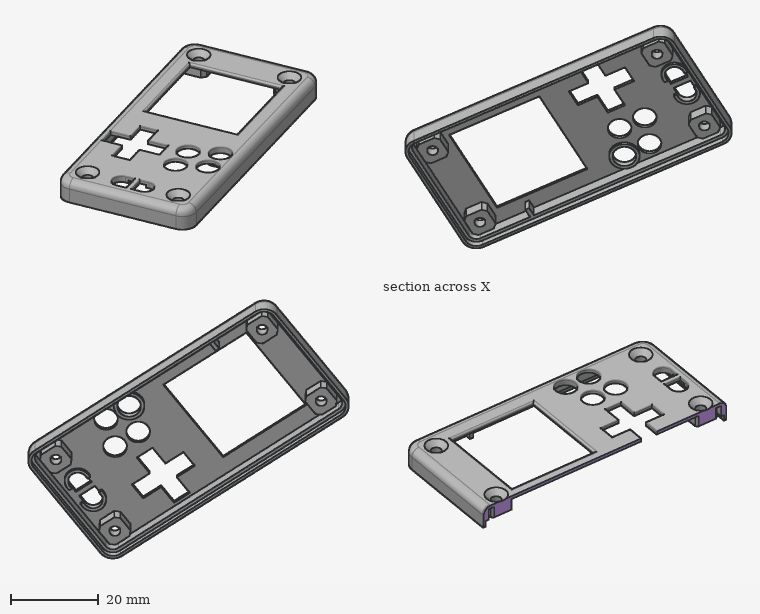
import cadquery as cq

LENGTH_X = 34.0
LENGTH_Y = 69.0
HEIGHT = 5.6
CORNER_RADIUS = 3.5
TOP_FILLET = 2.0

WALL = 1.5
TOP_THICKNESS = 1.0

SEAT_WALL = 0.7
SEAT_HEIGHT = 1.6

ceiling_z = HEIGHT - TOP_THICKNESS

SCREW_SPACING_X = 23.0
SCREW_SPACING_Y = 58.0
SCREW_DIAMETER = 2.5
SCREW_HEAD_DIAMETER = 5.4
COUNTERSINK_ANGLE = 90.0
BOSS_SIDE = 6.0
BOSS_CHAMFER = 1.0

RIB_START_X = 13.2
RIB_START_Y = 17.2
RIB_WIDTH = 1.0

SCREEN_SIZE = 23.3
SCREEN_CENTER_Y = 13.0
SCREEN_RIM_FILLET = 0.5

PAD_CENTER = (-7.5, -12.5)
PAD_SPAN = 14.5
PAD_ARM_WIDTH = 4.4

BUTTON_DIAMETER = 5.4
BUTTON_PITCH_Y = 6.5
BUTTON_COLUMNS = [(5.0, -13.8), (12.0, -11.3)]

SLOT_LENGTH = 10.4
SLOT_WIDTH = 4.4
SLOT_BAR_WIDTH = 1.3
SLOT_CENTER_Y = -29.0

COLLAR_DROP = 0.7
COLLAR_WALL = 0.8
SLOT_COLLAR_GAP = 4.4

CONTROL_RIM_FILLET = 0.15


def rounded_block(inset, height):
    """Case outline moved inward by the inset, standing on the bottom plane."""
    return (
        cq.Workplane("XY")
        .rect(LENGTH_X - 2 * inset, LENGTH_Y - 2 * inset)
        .extrude(height)
        .edges("|Z")
        .fillet(CORNER_RADIUS - inset)
    )


def make_shell():
    outer = rounded_block(0, HEIGHT).faces(">Z").edges().fillet(TOP_FILLET)
    cavity = rounded_block(WALL, ceiling_z)
    seat = rounded_block(SEAT_WALL, SEAT_HEIGHT)
    return outer.cut(cavity).cut(seat)


def add_screw_bosses(body):
    boss = (
        cq.Workplane("XY")
        .workplane(offset=SEAT_HEIGHT)
        .rect(BOSS_SIDE, BOSS_SIDE)
        .extrude(ceiling_z - SEAT_HEIGHT)
        .edges("|Z")
        .chamfer(BOSS_CHAMFER)
    )
    for x_side in (-1, 1):
        for y_side in (-1, 1):
            offset = (x_side * SCREW_SPACING_X / 2, y_side * SCREW_SPACING_Y / 2, 0)
            body = body.union(boss.translate(offset))
    return body


def add_screen_rib(body):
    rib_end_x = LENGTH_X / 2 - WALL
    rib = (
        cq.Workplane("XY")
        .workplane(offset=SEAT_HEIGHT)
        .moveTo(RIB_START_X, RIB_START_Y)
        .rect(rib_end_x - RIB_START_X, RIB_WIDTH, centered=False)
        .extrude(ceiling_z - SEAT_HEIGHT)
    )
    return body.union(rib)


def add_slot_collars(body):
    plane = cq.Workplane("XY").workplane(offset=ceiling_z - COLLAR_DROP).center(0, SLOT_CENTER_Y)
    length = SLOT_LENGTH + 2 * COLLAR_WALL
    width = SLOT_WIDTH + 2 * COLLAR_WALL
    collar = plane.slot2D(length, width).extrude(COLLAR_DROP)
    gap = plane.rect(SLOT_COLLAR_GAP, width).extrude(COLLAR_DROP)
    return body.union(collar.cut(gap))


def add_button_collar(body):
    x, center_y = BUTTON_COLUMNS[1]
    collar = (
        cq.Workplane("XY")
        .workplane(offset=ceiling_z - COLLAR_DROP)
        .center(x, center_y + BUTTON_PITCH_Y / 2)
        .circle(BUTTON_DIAMETER / 2 + COLLAR_WALL)
        .extrude(COLLAR_DROP)
    )
    return body.union(collar)


def cut_screw_holes(body):
    return (
        body.faces(">Z")
        .workplane(origin=(0, 0, HEIGHT))
        .rect(SCREW_SPACING_X, SCREW_SPACING_Y, forConstruction=True)
        .vertices()
        .cskHole(SCREW_DIAMETER, SCREW_HEAD_DIAMETER, COUNTERSINK_ANGLE)
    )


def top_openings(body):
    return body.faces(">Z").val().innerWires()


def cut_screen_window(body):
    """Cut the square window and round its top rim, the longest one on the top face."""
    window = cq.Workplane("XY").center(0, SCREEN_CENTER_Y).rect(SCREEN_SIZE, SCREEN_SIZE).extrude(HEIGHT)
    cut = body.cut(window)
    rim = max(top_openings(cut), key=lambda wire: wire.Length())
    return cut.newObject(rim.Edges()).fillet(SCREEN_RIM_FILLET)


def cut_direction_pad(body):
    plane = cq.Workplane("XY").center(*PAD_CENTER)
    across = plane.rect(PAD_SPAN, PAD_ARM_WIDTH).extrude(HEIGHT)
    along = plane.rect(PAD_ARM_WIDTH, PAD_SPAN).extrude(HEIGHT)
    return body.cut(across).cut(along)


def cut_buttons(body):
    for x, center_y in BUTTON_COLUMNS:
        for side in (-1, 1):
            y = center_y + side * BUTTON_PITCH_Y / 2
            hole = cq.Workplane("XY").center(x, y).circle(BUTTON_DIAMETER / 2).extrude(HEIGHT)
            body = body.cut(hole)
    return body


def cut_start_select(body):
    plane = cq.Workplane("XY").center(0, SLOT_CENTER_Y)
    slot = plane.slot2D(SLOT_LENGTH, SLOT_WIDTH).extrude(HEIGHT)
    bar = plane.rect(SLOT_BAR_WIDTH, SLOT_WIDTH).extrude(HEIGHT)
    return body.cut(slot.cut(bar))


def round_control_rims(body):
    rim_edges = [edge for wire in top_openings(body) for edge in wire.Edges()]
    return body.newObject(rim_edges).fillet(CONTROL_RIM_FILLET)


body = make_shell()
body = add_screw_bosses(body)
body = add_screen_rib(body)
body = add_slot_collars(body)
body = add_button_collar(body)
body = cut_direction_pad(body)
body = cut_buttons(body)
body = cut_start_select(body)
body = round_control_rims(body)
body = cut_screen_window(body)
result = cut_screw_holes(body)